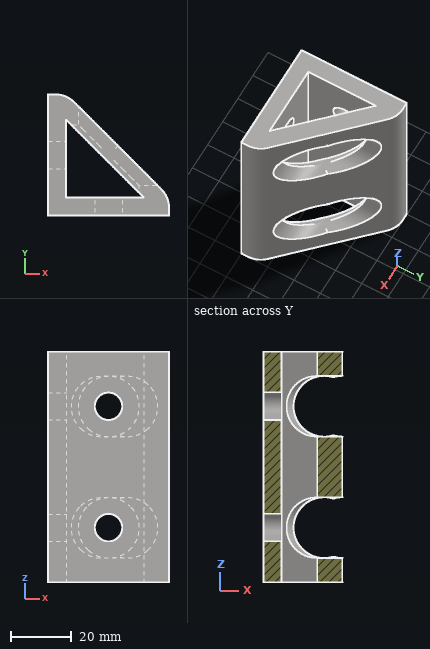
import cadquery as cq
import math

height = 76.0
leg = 40.0
wall = 6.0
cavity_leg = 25.6
tip_flat = 2.6
corner_radius = 8.5
hole_diameter = 9.0
access_diameter = 20.0
hole_spacing = leg

slope_angle = math.radians(45)
arc_mid_angle = slope_angle / 2


def corner_point(angle):
    """Point on the +X corner arc, angle measured from the +X direction."""
    x = leg - corner_radius + corner_radius * math.cos(angle)
    y = tip_flat + corner_radius * math.sin(angle)
    return (x, y)


def mirrored(point):
    """Reflect a point across the symmetry line x = y."""
    return (point[1], point[0])


def make_body():
    arc_mid = corner_point(arc_mid_angle)
    arc_end = corner_point(slope_angle)
    return (
        cq.Workplane("XY")
        .lineTo(leg, 0)
        .lineTo(leg, tip_flat)
        .threePointArc(arc_mid, arc_end)
        .lineTo(*mirrored(arc_end))
        .threePointArc(mirrored(arc_mid), (tip_flat, leg))
        .lineTo(0, leg)
        .close()
        .extrude(height)
    )


def make_cavity():
    far = wall + cavity_leg
    corners = [(wall, wall), (far, wall), (wall, far)]
    return cq.Workplane("XY").polyline(corners).close().extrude(height)


def make_cylinder(diameter, start_depth, z, direction):
    """Cylinder across the part at mid leg, starting at a depth behind a leg's outer face."""
    middle = leg / 2
    along_x = direction.x == 1
    start = cq.Vector(start_depth, middle, z) if along_x else cq.Vector(middle, start_depth, z)
    return cq.Solid.makeCylinder(diameter / 2, leg, start, direction)


result = make_body().cut(make_cavity())
for hole_z in (height / 2 - hole_spacing / 2, height / 2 + hole_spacing / 2):
    for hole_direction in (cq.Vector(1, 0, 0), cq.Vector(0, 1, 0)):
        result = result.cut(make_cylinder(hole_diameter, 0, hole_z, hole_direction))
        result = result.cut(make_cylinder(access_diameter, wall, hole_z, hole_direction))